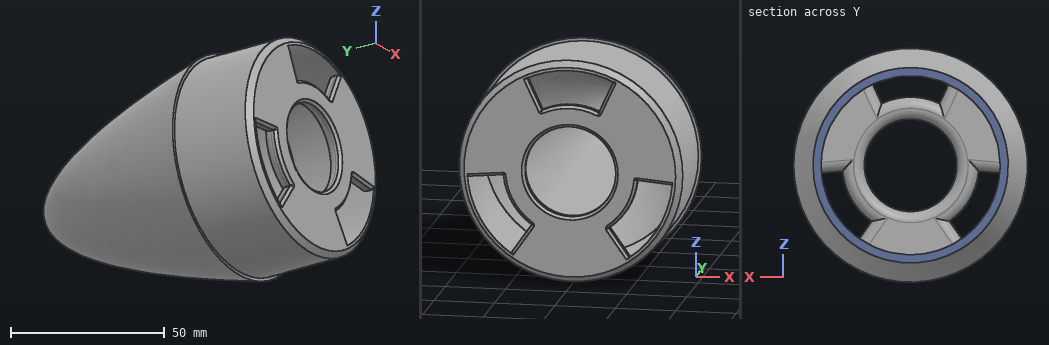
import cadquery as cq
import math

total_length = 105.0
nose_radius = 76.2 / 2
collar_radius = 74.0 / 2
collar_length = 29.9
collar_chamfer = 2.0
cavity_radius = 68.0 / 2
nose_wall = 3.0

plate_thickness = 5.7
opening_chamfer = 0.9
bevel_angle = 45.0
opening_fillet = 3.6
hole_radius = 30.0 / 2
slot_inner_radius = 22.3
slot_cut_radius = nose_radius
slot_half_angle = 25.0
slot_count = 3


def parabolic_body(collar_r, nose_r, tip):
    """Solid of revolution: a straight collar followed by a parabolic nose."""
    nose_control_points = [(nose_r, collar_length), (nose_r / 2, tip), (0, tip)]
    return (
        cq.Workplane("XY")
        .moveTo(0, 0)
        .lineTo(collar_r, 0)
        .lineTo(collar_r, collar_length)
        .lineTo(nose_r, collar_length)
        .bezier(nose_control_points)
        .close()
        .revolve(360, (0, 0), (0, 1))
    )


def sector_point(radius, angle):
    """Point on the end plate, with the angle measured from +Z."""
    turn = math.radians(angle)
    return (radius * math.sin(turn), radius * math.cos(turn))


def slot_outline():
    """Ring-sector outline of the upper slot, on the outer face of the plate."""
    return (
        cq.Workplane("XZ")
        .moveTo(*sector_point(slot_inner_radius, -slot_half_angle))
        .threePointArc((0, slot_inner_radius), sector_point(slot_inner_radius, slot_half_angle))
        .lineTo(*sector_point(slot_cut_radius, slot_half_angle))
        .threePointArc((0, slot_cut_radius), sector_point(slot_cut_radius, -slot_half_angle))
        .close()
    )


def around_axis(shape):
    """Copies of a shape spaced evenly about the Y axis."""
    copies = cq.Workplane("XZ")
    for index in range(slot_count):
        copies = copies.add(shape.rotate((0, 0, 0), (0, 1, 0), index * 360 / slot_count))
    return copies.combine()


outer_body = parabolic_body(collar_radius, nose_radius, total_length)
outer_body = outer_body.faces("<Y").chamfer(collar_chamfer)
cavity = parabolic_body(cavity_radius, nose_radius - nose_wall, total_length - nose_wall)
shell = outer_body.cut(cavity)

blank_radius = slot_cut_radius + 3 * opening_fillet
plate = cq.Workplane("XZ").circle(blank_radius).circle(hole_radius).extrude(-plate_thickness)
plate = plate.cut(around_axis(slot_outline().extrude(-plate_thickness)))
plate = plate.faces(">Y").edges().fillet(opening_fillet)
plate = plate.intersect(outer_body)

slot_bevel = slot_outline().extrude(opening_chamfer, taper=-bevel_angle).translate((0, opening_chamfer, 0))
slot_bevel = slot_bevel.intersect(cq.Workplane("XZ").circle(cavity_radius).extrude(-opening_chamfer))
hole_bevel = (
    cq.Workplane("XZ", origin=(0, opening_chamfer, 0))
    .circle(hole_radius)
    .extrude(opening_chamfer, taper=-bevel_angle)
)

result = shell.union(plate).cut(around_axis(slot_bevel)).cut(hole_bevel).clean()